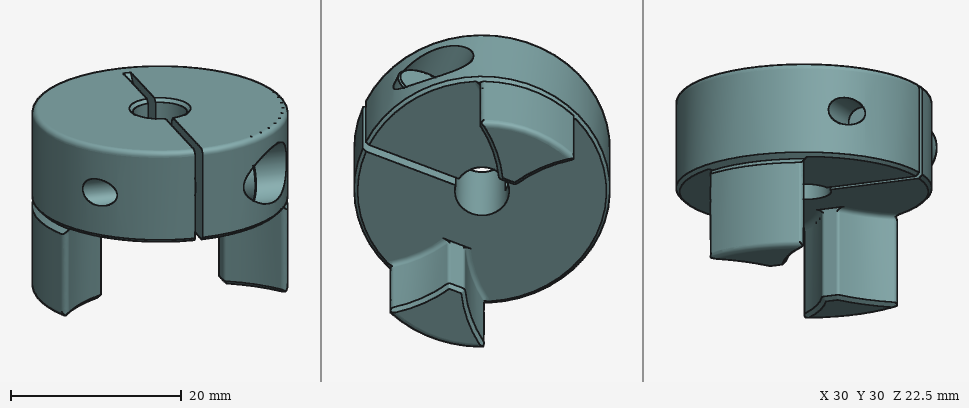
import cadquery as cq
outer_radius = 15.0
total_height = 22.5
disc_height = 11.35
disc_bottom_z = total_height - disc_height
rim_fillet = 0.7

bore_radius = 3.18
bore_chamfer = 0.42

slit_width = 0.93
blade_radius = 30.0
blade_start_x = -12.72

jaw_nose_y = 7.5
flank_radius = 16.3
flank_center_x = 15.5
jaw_corner_fillet = 0.5
jaw_tip_chamfer = 0.48
jaw_root_fillet = 0.6

groove_depth = 0.63
groove_z = 10.95

screw_x = 10.3
screw_z = total_height - disc_height / 2
head_radius = 3.5
head_height = 4.0
head_top_y = 7.5
head_bottom_y = head_top_y - head_height
head_chamfer = 0.2
shank_radius = 2.0
shank_length = 10.0
shank_end_y = head_bottom_y - shank_length
exit_hole_radius = 1.65


def y_cylinder(radius, x, z, start_y, end_y):
    """Cylinder along Y between two Y positions."""
    plane = cq.Plane(origin=(x, start_y, z), xDir=(1, 0, 0), normal=(0, 1, 0))
    return cq.Workplane(plane).circle(radius).extrude(end_y - start_y)


def make_jaw(side):
    """Jaw on the +Y (side = 1) or -Y (side = -1) half, with a flat nose and concave flanks."""
    jaw_depth = outer_radius - jaw_nose_y
    block = (
        cq.Workplane("XY")
        .center(0, side * (jaw_nose_y + jaw_depth / 2))
        .rect(outer_radius, jaw_depth)
        .extrude(disc_bottom_z)
    )
    jaw = cq.Workplane("XY").circle(outer_radius).extrude(disc_bottom_z).intersect(block)
    for center_x in (-flank_center_x, flank_center_x):
        flank = cq.Workplane("XY").center(center_x, 0).circle(flank_radius).extrude(disc_bottom_z)
        jaw = jaw.cut(flank)

    nose_end, back_end = ("<Y", ">Y") if side > 0 else (">Y", "<Y")
    jaw = jaw.edges("|Z").edges(nose_end).fillet(jaw_corner_fillet)
    jaw = jaw.faces("<Z").edges(nose_end).chamfer(jaw_tip_chamfer)
    return jaw.edges("|Z").edges(back_end).fillet(jaw_corner_fillet)


def make_jaws_under_plate():
    """Both jaws under an oversize square plate, with fillets where the flanks meet it."""
    plate_width = 2.5 * outer_radius
    body = (
        cq.Workplane("XY")
        .workplane(offset=disc_bottom_z)
        .rect(plate_width, plate_width)
        .extrude(disc_height)
    )
    for side in (-1, 1):
        body = body.union(make_jaw(side))
    root_zone = cq.selectors.BoxSelector(
        (-outer_radius, -outer_radius, disc_bottom_z - jaw_root_fillet),
        (outer_radius, outer_radius, disc_bottom_z + jaw_root_fillet),
    )
    body = body.edges(root_zone).fillet(jaw_root_fillet)
    nose_gap = cq.Workplane("XY").rect(outer_radius, 2 * jaw_nose_y).extrude(disc_bottom_z)
    return body.cut(nose_gap)


def make_envelope():
    """Round outline of disc and jaws, rounded at the top rim and at the backs of the jaw tips."""
    cylinder = cq.Workplane("XY").circle(outer_radius).extrude(total_height)
    return cylinder.faces("|Z").edges().fillet(rim_fillet)


def make_groove():
    return (
        cq.Workplane("XZ")
        .moveTo(outer_radius - groove_depth, groove_z)
        .lineTo(outer_radius, groove_z + groove_depth)
        .lineTo(outer_radius, groove_z - groove_depth)
        .close()
        .revolve(360, (0, 0, 0), (0, 1, 0))
    )


def make_bore():
    hole = cq.Workplane("XY").circle(bore_radius).extrude(total_height)
    mouth = (
        cq.Workplane("XY")
        .workplane(offset=total_height)
        .circle(bore_radius + bore_chamfer)
        .workplane(offset=-bore_chamfer)
        .circle(bore_radius)
        .loft(ruled=True)
    )
    return hole.union(mouth)


def make_slit():
    open_side = cq.Workplane("XY").box(
        outer_radius, slit_width, total_height, centered=(False, True, False)
    )
    blade_z = disc_bottom_z + blade_radius
    blade_rise = blade_z - total_height
    blade_x = blade_start_x + (blade_radius**2 - blade_rise**2) ** 0.5
    blade = y_cylinder(blade_radius, blade_x, blade_z, -slit_width / 2, slit_width / 2)
    return open_side.union(blade)


def make_screw_hole():
    counterbore = y_cylinder(head_radius, screw_x, screw_z, head_bottom_y, outer_radius)
    shank_hole = y_cylinder(shank_radius, screw_x, screw_z, shank_end_y, head_bottom_y)
    exit_hole = y_cylinder(exit_hole_radius, screw_x, screw_z, -outer_radius, shank_end_y)
    return counterbore.union(shank_hole).union(exit_hole)


def make_hub():
    hub = make_jaws_under_plate().intersect(make_envelope())
    hub = hub.cut(make_groove())
    hub = hub.cut(make_bore())
    hub = hub.cut(make_slit())
    return hub.cut(make_screw_hole())


def make_screw():
    head = y_cylinder(head_radius, screw_x, screw_z, head_bottom_y, head_top_y)
    head = head.faces(">Y").edges().chamfer(head_chamfer)
    shank = y_cylinder(shank_radius, screw_x, screw_z, shank_end_y, head_bottom_y)
    return head.union(shank)


hub = make_hub()
screw = make_screw()
result = cq.Compound.makeCompound([hub.val(), screw.val()])